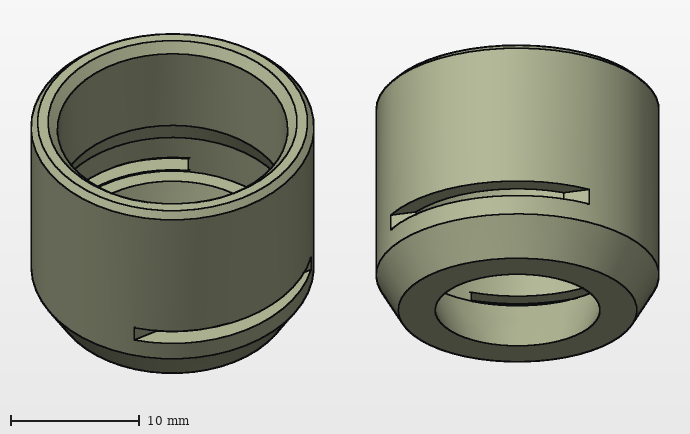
import cadquery as cq
import math

outer_radius = 11.0
height = 17.8
top_chamfer = 0.5
nose_height = 3.0
nose_angle = 30.0
nose_radius = outer_radius - nose_height * math.tan(math.radians(nose_angle))

bore_radius = 17.9 / 2
chamber_radius = 19.2 / 2
mouth_radius = 9.68
mouth_depth = mouth_radius - bore_radius
flare_top = 9.7
flare_length = 1.8

slot_floor = 4.58
slot_height = 1.25
slot_end_x = 7.5

seat_radius = 8.4
outlet_radius = 12.8 / 2
chamber_floor = 4.45


def make_body():
    """Revolve the half section of the sleeve about Z."""
    section = [
        (outlet_radius, 0),
        (nose_radius, 0),
        (outer_radius, nose_height),
        (outer_radius, height - top_chamfer),
        (outer_radius - top_chamfer, height),
        (mouth_radius, height),
        (bore_radius, height - mouth_depth),
        (bore_radius, flare_top),
        (chamber_radius, flare_top - flare_length),
        (chamber_radius, chamber_floor),
        (seat_radius, chamber_floor),
    ]
    return cq.Workplane("XZ").polyline(section).close().revolve(360, (0, 0), (0, 1))


def make_slot(side):
    """Cutter for one slot; side is -1 for -X and +1 for +X."""
    depth = outer_radius - slot_end_x
    center_x = side * (slot_end_x + depth / 2)
    return (
        cq.Workplane("XY", origin=(center_x, 0, slot_floor))
        .rect(depth, 2 * outer_radius)
        .extrude(slot_height)
    )


result = make_body()
for side in (-1, 1):
    result = result.cut(make_slot(side))